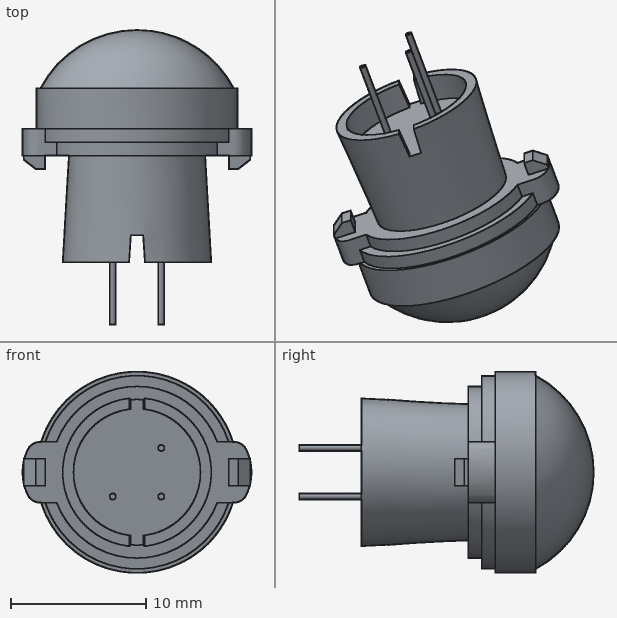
import cadquery as cq
import math


band_radius = 7.45
band_length = 3.0
dome_radius = 7.15
dome_height = 4.3
front_step_radius = dome_radius
rear_step_radius = 6.35
step_length = 1.0
flange_length = 2 * step_length
dome_base_y = flange_length + band_length
dome_tip_y = dome_base_y + dome_height

barrel_length = 7.9
barrel_front_radius = 5.05
barrel_rear_radius = 5.5
barrel_rear_y = -barrel_length
recess_radius = 4.7
recess_depth = 2.0
recess_floor_y = barrel_rear_y + recess_depth
notch_floor_width = 0.9
notch_mouth_width = 1.16

ear_reach = 8.48
ear_half_height = 2.25
ear_tip_radius = 3.75
ear_corner_radius = 1.0

hook_inner_x = 6.8
hook_outer_x = 8.38
hook_end_x = 7.48
hook_width = 2.0
hook_length = 1.0
hook_straight_length = 0.3

pin_radius = 0.23
pin_length = 4.6
pin_circle_radius = 2.54
pin_angles = (45, -45, -135)



def make_revolved_body():
    """Dome, band, two flange steps and the solid barrel as one revolution."""
    dome_sphere_radius = (dome_radius**2 + dome_height**2) / (2 * dome_height)
    dome_center_y = dome_tip_y - dome_sphere_radius
    half_angle = math.atan2(dome_radius, dome_base_y - dome_center_y) / 2
    dome_mid_point = (
        dome_sphere_radius * math.sin(half_angle),
        dome_center_y + dome_sphere_radius * math.cos(half_angle),
    )
    return (
        cq.Workplane("XY")
        .moveTo(0, barrel_rear_y)
        .lineTo(barrel_rear_radius, barrel_rear_y)
        .lineTo(barrel_front_radius, 0)
        .lineTo(rear_step_radius, 0)
        .lineTo(rear_step_radius, step_length)
        .lineTo(front_step_radius, step_length)
        .lineTo(front_step_radius, flange_length)
        .lineTo(band_radius, flange_length)
        .lineTo(band_radius, dome_base_y)
        .lineTo(dome_radius, dome_base_y)
        .threePointArc(dome_mid_point, (0, dome_tip_y))
        .close()
        .revolve(360, (0, 0, 0), (0, 1, 0))
    )


def make_recess():
    return (
        cq.Workplane("XZ", origin=(0, recess_floor_y, 0))
        .circle(recess_radius)
        .extrude(recess_depth)
    )


def make_notches():
    """Slot across the rim, widening to the rear, as deep as the recess."""
    return (
        cq.Workplane("XY")
        .moveTo(-notch_floor_width / 2, recess_floor_y)
        .lineTo(notch_floor_width / 2, recess_floor_y)
        .lineTo(notch_mouth_width / 2, barrel_rear_y)
        .lineTo(-notch_mouth_width / 2, barrel_rear_y)
        .close()
        .extrude(barrel_rear_radius, both=True)
    )


def make_ears():
    """Bar across the flange with a bowed tip and rounded corners at each end."""
    tip_center_x = ear_reach - ear_tip_radius
    shoulder_x = tip_center_x + math.sqrt(ear_tip_radius**2 - ear_half_height**2)
    return (
        cq.Workplane("XZ", origin=(0, flange_length, 0))
        .moveTo(-shoulder_x, -ear_half_height)
        .lineTo(shoulder_x, -ear_half_height)
        .threePointArc((ear_reach, 0), (shoulder_x, ear_half_height))
        .lineTo(-shoulder_x, ear_half_height)
        .threePointArc((-ear_reach, 0), (-shoulder_x, -ear_half_height))
        .close()
        .extrude(flange_length)
        .edges("|Y")
        .fillet(ear_corner_radius)
    )


def make_hook(side):
    """Snap hook with a sloped outer corner; side is +1 or -1 along X."""
    return (
        cq.Workplane("XY")
        .moveTo(side * hook_inner_x, 0)
        .lineTo(side * hook_outer_x, 0)
        .lineTo(side * hook_outer_x, -hook_straight_length)
        .lineTo(side * hook_end_x, -hook_length)
        .lineTo(side * hook_inner_x, -hook_length)
        .close()
        .extrude(hook_width / 2, both=True)
    )


def make_pin(angle):
    """Round pin rising from the recess floor, at an angle from +X towards +Z."""
    x = pin_circle_radius * math.cos(math.radians(angle))
    z = pin_circle_radius * math.sin(math.radians(angle))
    return (
        cq.Workplane("XZ", origin=(x, recess_floor_y, z))
        .circle(pin_radius)
        .extrude(recess_depth + pin_length)
    )


result = make_revolved_body().cut(make_recess()).cut(make_notches())
result = result.union(make_ears())
for hook_side in (-1, 1):
    result = result.union(make_hook(hook_side))
for pin_angle in pin_angles:
    result = result.union(make_pin(pin_angle))